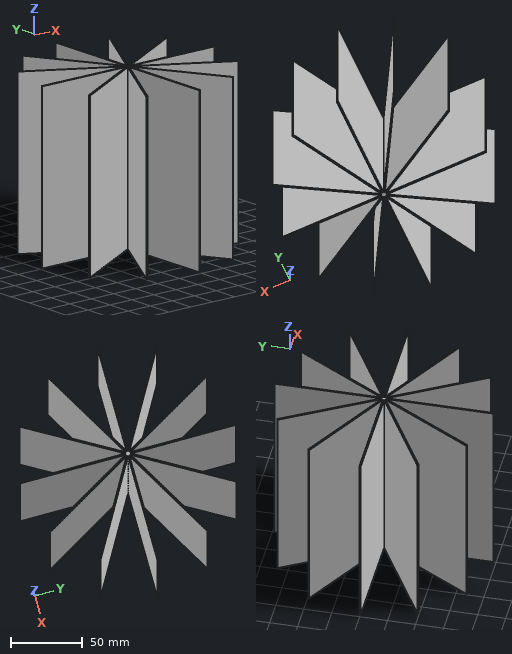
import cadquery as cq

span = 156.4
height = 132.6
blade_thickness = 1.0
blade_count = 12

plate_count = blade_count // 2
angle_step = 360.0 / blade_count


def plate(angle):
    """Full-width upright plate turned about the central Z axis."""
    blank = cq.Workplane("XY").box(span, blade_thickness, height)
    return blank.rotate((0, 0, 0), (0, 0, 1), angle)


result = plate(0)
for index in range(1, plate_count):
    result = result.union(plate(index * angle_step))